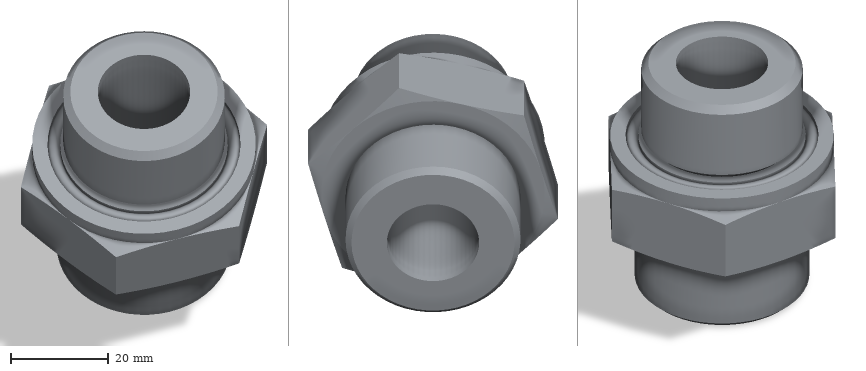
import cadquery as cq
import math

TOTAL_HEIGHT = 54.0
HEX_BOTTOM = 18.0
HEX_TOP = 32.8
COLLAR_TOP = 36.0

HEX_ACROSS_FLATS = 46.0
HEX_CHAMFER_ANGLE = 15.0
CONE_MARGIN = 1.0
COLLAR_DIAMETER = HEX_ACROSS_FLATS

LOWER_DIAMETER = 36.0
LOWER_CHAMFER = 1.227
UPPER_DIAMETER = 33.25
UPPER_CHAMFER = 1.479
BORE_DIAMETER = 19.0

SEAL_INNER_DIAMETER = 34.5
SEAL_OUTER_DIAMETER = 39.7


def make_hexagon():
    """Hexagon with flats facing +X and -X and both ends chamfered by a cone."""
    height = HEX_TOP - HEX_BOTTOM
    corner_radius = HEX_ACROSS_FLATS / 2 / math.cos(math.pi / 6)
    prism = (
        cq.Workplane("XY")
        .workplane(offset=HEX_BOTTOM)
        .polygon(6, 2 * corner_radius)
        .extrude(height)
        .rotate((0, 0, 0), (0, 0, 1), 30)
    )
    flat_radius = HEX_ACROSS_FLATS / 2
    rim_radius = corner_radius + CONE_MARGIN
    drop = (rim_radius - flat_radius) * math.tan(math.radians(HEX_CHAMFER_ANGLE))
    envelope = (
        cq.Workplane("XZ")
        .moveTo(0, HEX_BOTTOM)
        .lineTo(flat_radius, HEX_BOTTOM)
        .lineTo(rim_radius, HEX_BOTTOM + drop)
        .lineTo(rim_radius, HEX_TOP - drop)
        .lineTo(flat_radius, HEX_TOP)
        .lineTo(0, HEX_TOP)
        .close()
        .revolve(360, (0, 0, 0), (0, 1, 0))
    )
    return prism.intersect(envelope)


def make_lower_spigot():
    """Lower cylinder, chamfered at its free end and where it meets the hexagon."""
    return (
        cq.Workplane("XY")
        .circle(LOWER_DIAMETER / 2)
        .extrude(HEX_BOTTOM)
        .edges()
        .chamfer(LOWER_CHAMFER)
    )


def make_collar():
    """Round collar between the hexagon and the upper spigot."""
    return (
        cq.Workplane("XY")
        .workplane(offset=HEX_TOP)
        .circle(COLLAR_DIAMETER / 2)
        .extrude(COLLAR_TOP - HEX_TOP)
    )


def make_upper_spigot():
    """Upper cylinder, chamfered at its free end and where it meets the collar."""
    return (
        cq.Workplane("XY")
        .workplane(offset=COLLAR_TOP)
        .circle(UPPER_DIAMETER / 2)
        .extrude(TOTAL_HEIGHT - COLLAR_TOP)
        .edges()
        .chamfer(UPPER_CHAMFER)
    )


def make_seal_groove():
    """Ring-shaped cut that leaves the rounded upper half of the seal exposed."""
    inner_radius = SEAL_INNER_DIAMETER / 2
    outer_radius = SEAL_OUTER_DIAMETER / 2
    section_radius = (outer_radius - inner_radius) / 2
    seal_centre = COLLAR_TOP - section_radius
    groove = (
        cq.Workplane("XY")
        .workplane(offset=seal_centre)
        .circle(outer_radius)
        .circle(inner_radius)
        .extrude(section_radius)
    )
    seal = (
        cq.Workplane("XZ")
        .moveTo(inner_radius + section_radius, seal_centre)
        .circle(section_radius)
        .revolve(360, (0, 0, 0), (0, 1, 0))
    )
    return groove.cut(seal)


body = make_lower_spigot().union(make_hexagon()).union(make_collar()).union(make_upper_spigot())
bore = cq.Workplane("XY").circle(BORE_DIAMETER / 2).extrude(TOTAL_HEIGHT)
result = body.cut(make_seal_groove()).cut(bore)